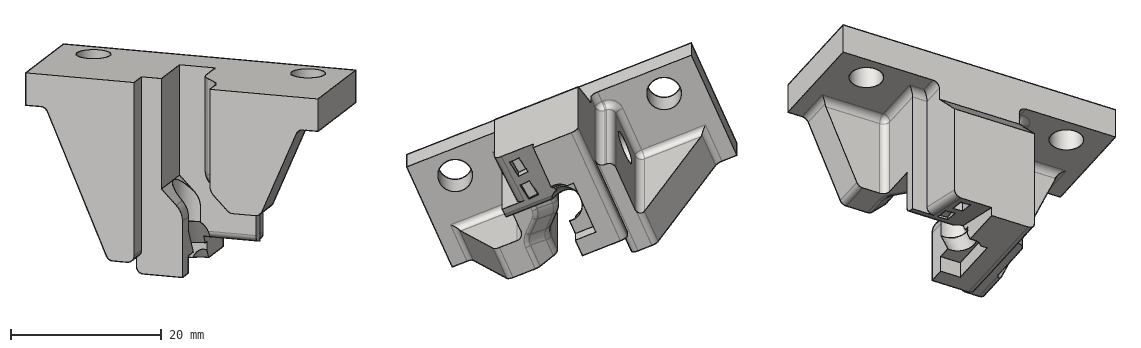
import cadquery as cq
import math

overrun = 0.4
margin = 0.05

plate_length = 41.0
plate_depth = 15.55
plate_thickness = 4.45
bolt_hole_diameter = 4.6
bolt_hole_x = 15.05
bolt_hole_y = 11.9

rounding = 1.0
body_half_width = 8.2
left_body_depth = 13.08
right_body_depth = 12.1
body_bottom = -24.8
block_half_width = 6.03
block_front = 3.08
block_depth = 19.85
block_bottom = -27.1
shoulder_top = -7.25

rib_depth = 4.67
rib_top_x = 17.7
rib_angle = math.radians(23.4)
right_rib_bottom = -16.8

slot_half_width = 2.5
slot_back = 10.5
mouth_right = 5.35
notch_left = -5.3
wall_rounding = 2.0
flare_z = -14.02
flare_angle = math.radians(45)
flare_corner_turn = math.radians(45)
flare_bend_radius = 2.0

tab_right = 0.45
tab_top = -15.15
tab_rounding = 3.0

bore_radius = slot_half_width
bore_y = slot_back - bore_radius
bend_z = -21.3
exit_tilt = math.radians(30)
exit_length = 10.25
exit_ceiling = -24.72

underside_angle = math.radians(15)
underside_edge_z = -23.3
pocket_width = 1.4
pocket_length = 2.55
pocket_turn = 5
pocket_centers = [(3.77, 13.35), (3.6, 17.3)]
pocket_top = -23.35

recess_diameter = 4.6
recess_y = 9.0
recess_z = -10.45
recess_depth = 2.05


def block(x_min, x_max, y_min, y_max, z_min, z_max):
    size = (x_max - x_min, y_max - y_min, z_max - z_min)
    return cq.Workplane("XY").box(*size, centered=False).translate((x_min, y_min, z_min))


def prism_along_x(points, x_min, x_max):
    return cq.Workplane("YZ", origin=(x_min, 0, 0)).polyline(points).close().extrude(x_max - x_min)


def prism_along_y(points, y_min, y_max):
    return cq.Workplane("XZ", origin=(0, y_min, 0)).polyline(points).close().extrude(y_min - y_max)


def edges_within(low, high):
    """Selector for edges whose middle lies in the box from low to high."""
    return cq.selectors.BoxSelector(low, high)


def round_inner_corner(shape, x, y):
    """Round the vertical inner corner at x, y."""
    near = edges_within((x - margin, y - margin, block_bottom), (x + margin, y + margin, 0))
    return shape.edges("|Z").edges(near).fillet(rounding)


def rib(side, bottom):
    """Sloping rib; side is -1 for the left one and 1 for the right one."""
    foot_x = rib_top_x + (bottom + plate_thickness) * math.tan(rib_angle)
    points = [
        (0, -plate_thickness),
        (side * rib_top_x, -plate_thickness),
        (side * foot_x, bottom),
        (0, bottom),
    ]
    foot = cq.selectors.NearestToPointSelector((side * foot_x, rib_depth / 2, bottom))
    return prism_along_y(points, 0, rib_depth).edges(foot).fillet(rounding)


def rear_block():
    profile = [
        (block_front, -plate_thickness),
        (plate_depth, -plate_thickness),
        (plate_depth, shoulder_top),
        (block_depth, shoulder_top - (block_depth - plate_depth)),
        (block_depth, block_bottom),
        (block_front, block_bottom),
    ]
    return prism_along_x(profile, -block_half_width, block_half_width)


def solid_body():
    left = block(-body_half_width, 0, 0, left_body_depth, body_bottom, -plate_thickness)
    left = left.edges("|Z and >Y and <X").fillet(rounding)
    right = block(0, body_half_width, 0, right_body_depth, body_bottom, -plate_thickness)
    core = left.union(right).union(rear_block())
    core = round_inner_corner(core, -block_half_width, left_body_depth)
    core = core.union(rib(-1, body_bottom)).union(rib(1, right_rib_bottom))
    for x in (-body_half_width, body_half_width):
        core = round_inner_corner(core, x, rib_depth)

    half_length = plate_length / 2
    body = core.union(block(-half_length, half_length, 0, plate_depth, -plate_thickness, 0))
    under_plate = edges_within(
        (-rib_top_x - margin, margin, -plate_thickness - margin),
        (rib_top_x + margin, plate_depth - margin, -plate_thickness + margin),
    )
    body = body.edges(under_plate).fillet(rounding)
    left_bottom = cq.selectors.NearestToPointSelector((-block_half_width, block_depth / 2, block_bottom))
    return body.edges(left_bottom).fillet(rounding)


def flared_slot():
    """Slot that runs straight down, then flares so that every wall right of it leans by the flare angle.

    A copy of the slot outline moves along a bent path. The path leans to the right and also towards
    the back, along the line that halves the corners of the right wall.
    """
    drop = flare_z - right_rib_bottom
    ramp = mouth_right - slot_half_width
    back_shift = math.tan(flare_corner_turn / 2)
    path_reach = math.hypot(1, back_shift) * math.tan(flare_angle)
    path_lean = math.atan(path_reach)
    setback = flare_bend_radius * math.tan(path_lean / 2)

    front_end = -drop - overrun
    outline = [
        (-slot_half_width, slot_back),
        (slot_half_width, slot_back),
        (slot_half_width, block_front + ramp),
        (mouth_right, block_front),
        (mouth_right, front_end),
        (-slot_half_width, front_end),
    ]
    wall_corners = edges_within(
        (slot_half_width - margin, block_front - margin, -overrun),
        (mouth_right + margin, block_front + ramp + margin, overrun),
    )
    column = cq.Workplane("XY").polyline(outline).close().extrude(overrun)
    section = column.edges("|Z").edges(wall_corners).fillet(wall_rounding).faces("<Z").wires().val()

    def on_bend(angle):
        x = flare_bend_radius * (1 - math.cos(angle))
        return (x, flare_z + setback - flare_bend_radius * math.sin(angle))

    path_plane = cq.Plane(origin=(0, 0, 0), xDir=(1, back_shift, 0), normal=(back_shift, -1, 0))
    path = (
        cq.Workplane(path_plane)
        .lineTo(*on_bend(0))
        .threePointArc(on_bend(path_lean / 2), on_bend(path_lean))
        .lineTo(drop * path_reach, right_rib_bottom)
        .wire()
        .val()
    )
    swept = cq.Workplane(cq.Solid.sweep(section, [], path, mode=cq.Vector(0, 0, 0.4)))
    room = block(-plate_length, plate_length, -plate_depth, slot_back, right_rib_bottom, 0)
    return swept.intersect(room)


def cut_slot(body):
    lower = block(-slot_half_width, body_half_width, -overrun, slot_back, block_bottom, right_rib_bottom)
    left = block(-slot_half_width, slot_half_width, -overrun, slot_back, block_bottom, 0)
    notch = block(notch_left, 0, -overrun, block_front, block_bottom, 0)
    body = body.cut(flared_slot()).cut(lower).cut(left).cut(notch)
    flare_lip = edges_within(
        (slot_half_width, 0, right_rib_bottom - margin),
        (body_half_width - margin, slot_back - margin, right_rib_bottom + margin),
    )
    body = body.edges(flare_lip).fillet(rounding)
    left_rib_corner = cq.selectors.NearestToPointSelector((notch_left, block_front / 2, body_bottom))
    return body.edges(left_rib_corner).fillet(rounding)


def tab():
    width = tab_right + slot_half_width
    points = [
        (-slot_half_width, tab_top),
        (tab_right, tab_top - width),
        (tab_right, block_bottom),
        (-slot_half_width, block_bottom),
    ]
    nose = cq.selectors.NearestToPointSelector((tab_right, (block_front + slot_back) / 2, tab_top - width))
    return prism_along_y(points, block_front, slot_back).edges(nose).fillet(tab_rounding)


def slope_underside(body):
    """Cut the underside right of the tab along a plane that drops towards the back."""
    y_end = block_depth + overrun
    slope = math.tan(underside_angle)
    setback = rounding * math.tan((math.pi / 2 - underside_angle) / 2)
    arc_center_y = slot_back + rounding
    arc_center_z = underside_edge_z + setback
    to_edge = math.radians(225) - underside_angle / 2
    arc_middle = (
        arc_center_y + rounding * math.cos(to_edge),
        arc_center_z + rounding * math.sin(to_edge),
    )
    arc_end = (
        slot_back + setback * math.cos(underside_angle),
        underside_edge_z - setback * math.sin(underside_angle),
    )
    space = (
        cq.Workplane("YZ", origin=(tab_right, 0, 0))
        .moveTo(slot_back, arc_center_z)
        .threePointArc(arc_middle, arc_end)
        .lineTo(y_end, underside_edge_z - (y_end - slot_back) * slope)
        .lineTo(y_end, block_bottom - overrun)
        .lineTo(slot_back, block_bottom - overrun)
        .close()
        .extrude(body_half_width)
    )
    right_bottom = edges_within(
        (block_half_width - margin, right_body_depth, block_bottom),
        (block_half_width + margin, block_depth - margin, underside_edge_z),
    )
    return body.cut(space).edges(right_bottom).fillet(rounding)


def bent_bore():
    """Vertical bore that tilts backwards and ends in an open space under the tab."""
    straight = cq.Workplane("XY", origin=(0, bore_y, bend_z)).circle(bore_radius).extrude(-bend_z)
    direction = cq.Vector(0, math.sin(exit_tilt), -math.cos(exit_tilt))
    exit_radius = bore_radius * math.cos(exit_tilt)
    start = cq.Vector(0, bore_y, bend_z) - direction * (exit_radius * math.tan(exit_tilt))
    tilted = cq.Solid.makeCylinder(exit_radius, exit_length, start, direction)
    space_front = bore_y - bore_radius
    space = block(-slot_half_width, tab_right, space_front, left_body_depth, block_bottom, exit_ceiling)
    return straight.union(cq.Workplane(tilted)).union(space)


def underside_pockets():
    """Two upright slots in the underside, each turned slightly about its own middle."""
    outline = cq.Sketch().push(pocket_centers).rect(pocket_width, pocket_length, angle=-pocket_turn)
    height = pocket_top - block_bottom
    return cq.Workplane("XY", origin=(0, 0, block_bottom)).placeSketch(outline).extrude(height)


def bolt_holes():
    centers = [(-bolt_hole_x, bolt_hole_y), (bolt_hole_x, bolt_hole_y)]
    plate_bottom = cq.Workplane("XY", origin=(0, 0, -plate_thickness))
    return plate_bottom.pushPoints(centers).circle(bolt_hole_diameter / 2).extrude(plate_thickness)


def side_recess():
    left_side = cq.Workplane("YZ", origin=(-body_half_width, recess_y, recess_z))
    return left_side.circle(recess_diameter / 2).extrude(recess_depth)


result = slope_underside(cut_slot(solid_body()))
result = result.union(tab()).cut(bent_bore()).cut(underside_pockets())
result = result.cut(bolt_holes()).cut(side_recess())